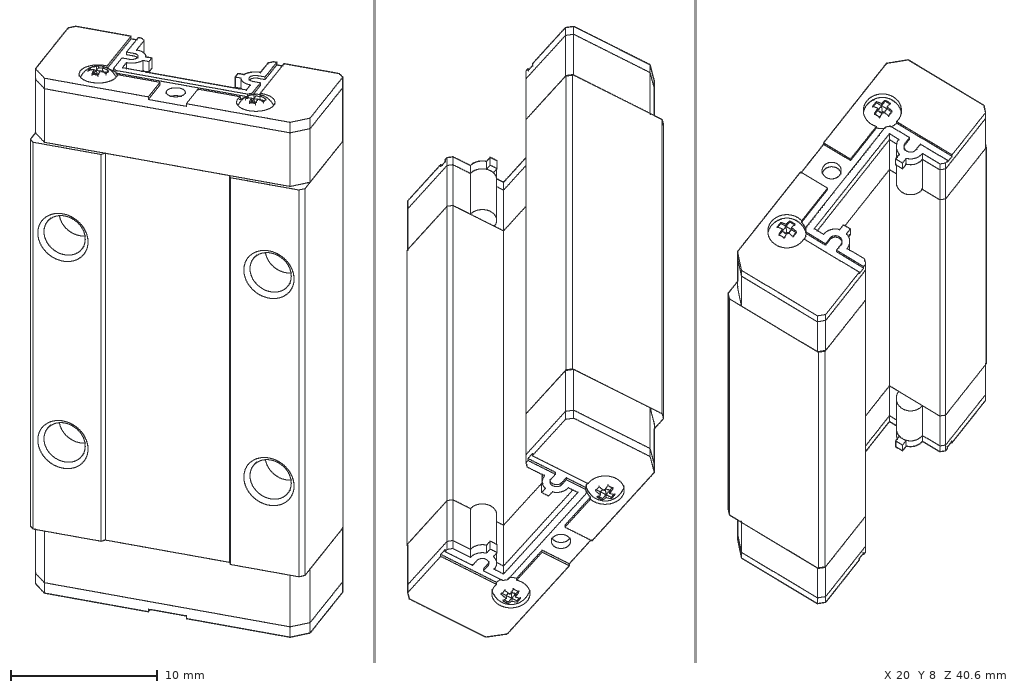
import cadquery as cq
import math


width = 20.0
depth = 8.0
length = 40.65
block_length = 29.95
cap_length = 4.15
plate_thickness = 0.8
front_step = 0.265

front_y = -depth / 2
back_y = depth / 2
step_y = front_y + front_step
cap_base_z = block_length / 2
plate_base_z = cap_base_z + cap_length
plate_top_z = plate_base_z + plate_thickness

channel_half_width = 4.5
channel_floor_y = -0.45
channel_edge_chamfer = 0.3

block_edge_chamfer = 0.33
pad_edge_slope = 0.2
mount_hole_diameter = 3.0
mount_hole_mouth_diameter = 3.65
mount_hole_depth = 3.25
mount_hole_spacing_x = 15.0
mount_hole_spacing_z = 16.02

end_front_chamfer = 1.05
end_back_chamfer = 0.4

lube_hole_diameter = 1.3
lube_hole_y = -2.1

lip_width = 0.53
lip_corner_chamfer = 0.25
nose_y = 1.3
nose_radius = 0.98
nose_core_radius = nose_radius - lip_width
nose_tip_width = 0.55
nose_tip_x = 3.15

recess_depth = 0.2
recess_width = 0.53
recess_branch_width = 2.75

screw_x = 5.75
screw_y = -1.87
screw_head_diameter = 2.6
screw_head_sink = 0.55
screw_dome_radius = 1.35
cross_length = 1.3
cross_width = 0.45
cross_depth = 0.33
pit_depth = 0.5
pit_taper = 20.0

screw_seat_z = plate_top_z - screw_head_sink


def slab(base_z, thickness):
    """A plain slice of the carriage's full section."""
    box = cq.Workplane("XY").box(width, depth, thickness, centered=(True, True, False))
    return box.translate((0, 0, base_z))


def bar(x_min, x_max, y_min, y_max):
    """A rectangular bar that runs along Z through the whole carriage."""
    section = cq.Workplane("XY").center((x_min + x_max) / 2, (y_min + y_max) / 2)
    return section.rect(x_max - x_min, y_max - y_min).extrude(length, both=True)


def channel_bar(offset):
    """The channel's section grown by an offset at its sides and floor."""
    half_width = channel_half_width + offset
    return bar(-half_width, half_width, channel_floor_y - offset, back_y)


def nose_bar(side, radius):
    """A bar with a round end that reaches from the lip into the channel."""
    root_x = side * (channel_half_width + lip_width)
    center_x = side * channel_half_width
    end_x = side * (channel_half_width - radius)
    return (
        cq.Workplane("XY")
        .moveTo(root_x, nose_y - radius)
        .lineTo(center_x, nose_y - radius)
        .threePointArc((end_x, nose_y), (center_x, nose_y + radius))
        .lineTo(root_x, nose_y + radius)
        .close()
        .extrude(length, both=True)
    )


def nose_tip_bar(side):
    """The thin tip at the end of a nose."""
    tip_ends = sorted((side * nose_tip_x, side * channel_half_width))
    return bar(*tip_ends, nose_y - nose_tip_width / 2, nose_y + nose_tip_width / 2)


def cut_channel(body):
    """Cut the rail channel and chamfer its two edges on the back face."""
    body = body.cut(channel_bar(0))
    margin = channel_edge_chamfer / 2
    near_mouth = cq.selectors.BoxSelector(
        (-channel_half_width - margin, back_y - margin, -length),
        (channel_half_width + margin, back_y + margin, length),
    )
    return body.edges("|Z").edges(near_mouth).chamfer(channel_edge_chamfer)


def cut_lube_hole(body):
    hole = cq.Workplane("XY").center(0, lube_hole_y).circle(lube_hole_diameter / 2)
    return body.cut(hole.extrude(length, both=True))


def make_front_groove():
    """The wide shallow groove between the block's two front pads."""
    return (
        cq.Workplane("XY")
        .polyline([
            (-channel_half_width - pad_edge_slope, front_y),
            (-channel_half_width, step_y),
            (channel_half_width, step_y),
            (channel_half_width + pad_edge_slope, front_y),
        ])
        .close()
        .extrude(length, both=True)
    )


def make_mount_hole(x, z):
    """A blind hole into the front face with a chamfered mouth."""
    mouth_radius = mount_hole_mouth_diameter / 2
    bore_radius = mount_hole_diameter / 2
    center = cq.Vector(x, front_y, z)
    inward = cq.Vector(0, 1, 0)
    mouth = cq.Solid.makeCone(mouth_radius, bore_radius, mouth_radius - bore_radius, center, inward)
    bore = cq.Solid.makeCylinder(bore_radius, mount_hole_depth, center, inward)
    return cq.Workplane(mouth.fuse(bore))


def make_block():
    block = slab(-block_length / 2, block_length).edges("|Z").chamfer(block_edge_chamfer)
    block = cut_channel(block)
    block = block.cut(make_front_groove())
    for x in (-mount_hole_spacing_x / 2, mount_hole_spacing_x / 2):
        for z in (-mount_hole_spacing_z / 2, mount_hole_spacing_z / 2):
            block = block.cut(make_mount_hole(x, z))
    return cut_lube_hole(block)


def make_end_slab(base_z, thickness):
    """The shared section of cap and plate: chamfered outside, with the channel and its noses."""
    whole = slab(base_z, thickness)
    body = whole.cut(bar(-width / 2, width / 2, front_y, step_y))
    body = body.edges("|Z and <Y").chamfer(end_front_chamfer)
    body = body.edges("|Z and >Y").chamfer(end_back_chamfer)
    body = cut_channel(body)
    for side in (-1, 1):
        body = body.union(nose_bar(side, nose_radius).intersect(whole))
    return cut_lube_hole(body)


def make_end_cap():
    return make_end_slab(cap_base_z, cap_length)


def make_recess():
    """The recess around the seal lip, one solid that is open at the plate's outer face."""
    lip = channel_bar(lip_width).edges("|Z and <Y").chamfer(lip_corner_chamfer)
    recess = channel_bar(lip_width + recess_width)
    recess = recess.union(bar(-recess_branch_width / 2, recess_branch_width / 2, front_y, channel_floor_y))
    recess = recess.cut(lip)
    for side in (-1, 1):
        recess = recess.union(nose_bar(side, nose_core_radius))
    return recess.intersect(slab(plate_top_z - recess_depth, recess_depth))


def make_plate():
    plate = make_end_slab(plate_base_z, plate_thickness)
    for side in (-1, 1):
        plate = plate.union(nose_tip_bar(side).intersect(slab(plate_base_z, plate_thickness)))
    plate = plate.cut(make_recess())
    for side in (-1, 1):
        seat = cq.Workplane("XY", origin=(side * screw_x, screw_y, screw_seat_z))
        plate = plate.cut(seat.circle(screw_head_diameter / 2).extrude(screw_head_sink))
    return plate


def make_screw(side):
    slot_corner_radius = cross_width / math.sqrt(2)
    corner_drop = screw_dome_radius - math.sqrt(screw_dome_radius ** 2 - slot_corner_radius ** 2)
    apex_z = length / 2 + corner_drop
    dome = cq.Workplane("XY").sphere(screw_dome_radius).translate((0, 0, apex_z - screw_dome_radius))
    seat = cq.Workplane("XY").workplane(offset=screw_seat_z)
    head = seat.circle(screw_head_diameter / 2).extrude(apex_z - screw_seat_z).intersect(dome)

    top = cq.Workplane("XY").workplane(offset=apex_z)
    slot_floor = top.workplane(offset=-cross_depth)
    head = head.cut(top.rect(cross_length, cross_width).extrude(-cross_depth))
    head = head.cut(top.rect(cross_width, cross_length).extrude(-cross_depth))
    head = head.cut(slot_floor.rect(cross_width, cross_width).extrude(-pit_depth, taper=pit_taper))
    return head.translate((side * screw_x, screw_y, 0))


def at_both_ends(body):
    """A body at the +Z end and its mirrored copy at the -Z end, as two solids."""
    return [body.solids().val(), body.mirror("XY").solids().val()]


block = make_block()
caps = at_both_ends(make_end_cap())
plates = at_both_ends(make_plate())
screws = []
for side in (-1, 1):
    screws.extend(at_both_ends(make_screw(side)))

result = cq.Compound.makeCompound([block.solids().val(), *caps, *plates, *screws])